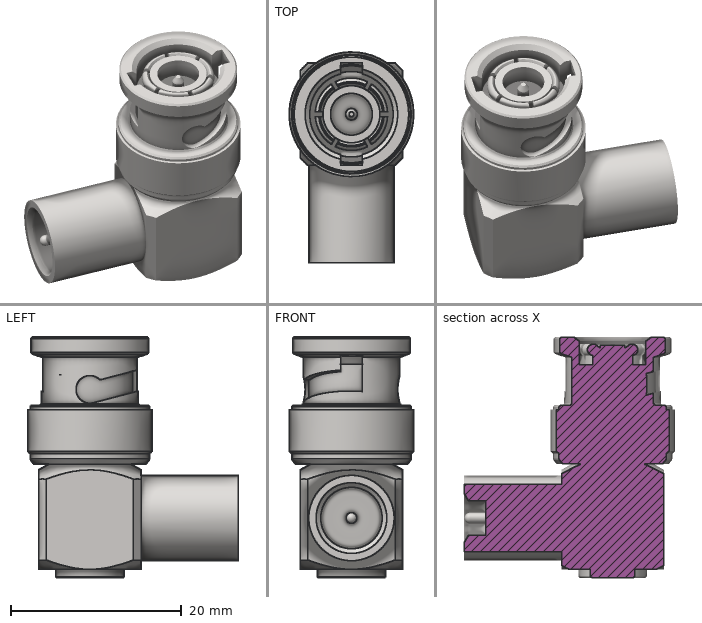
import cadquery as cq
import math


BODY_HALF = 6.0
BODY_CORNER = 0.9
BODY_TOP_Z = 6.3
BODY_CONE_TOP_Z = 5.64
BODY_CONE_ANGLE = 30.0
PLUG_RADIUS = 4.0
PLUG_BOTTOM_Z = -7.0
PLUG_EDGE = 0.15

PORT_RADIUS = 5.0
PORT_END_Y = -17.4
PORT_BORE_RADIUS = 3.6
PORT_MOUTH_RADIUS = 4.14
PORT_MOUTH_DEPTH = 0.5
PORT_BORE_DEPTH = 2.5
PORT_PIN_RADIUS = 0.63
PORT_PIN_TIP_Y = PORT_END_Y + 0.06

NUT_TOP_Z = 21.2
NUT_BOTTOM_Z = 6.3
GRIP_RADIUS = 7.3
GRIP_TOP_Z = 12.7
GRIP_BOTTOM_Z = 7.84
SHOULDER_RADIUS = 7.0
SHOULDER_TOP_Z = 13.22
LOWER_BEVEL_Z = 6.95
LOWER_CONE_Z = 6.77
LOWER_CONE_RADIUS = 6.93
NUT_BOTTOM_RADIUS = 6.55
SLEEVE_RADIUS = 5.67
SLEEVE_FOOT_BEVEL = 0.17
FLANGE_RADIUS = 6.9
FLANGE_BOTTOM_Z = 19.2
FLANGE_CONE_BOTTOM_Z = 18.8
EDGE_BEVEL = 0.2

BORE_RADIUS = 4.89
BORE_MOUTH_RADIUS = 5.42
BORE_MOUTH_DEPTH = 0.5
BORE_FLOOR_Z = 18.0
CORE_RADIUS = 5.0
SLOT_WIDTH = 2.54
SLOT_WALL_Y = 6.0
DETENT_RADIUS = 1.62
DETENT_Z = 15.06
RAMP_ANGLE = 14.7
RAMP_WIDTH = 2.4

FINGER_RADIUS = 4.24
FINGER_TOP_Z = 20.4
FINGER_CREST_OUTER = 3.83
FINGER_CREST_INNER = 3.65
FINGER_BEAD_RADIUS = 0.8
FINGER_BEVEL_DEPTH = 0.45
FINGER_SLOT_WIDTH = 0.55
FINGER_SLOT_LINES = 3
INSULATOR_RADIUS = 3.34
INSULATOR_BORE_RADIUS = 2.45
INSULATOR_TOP_Z = 20.28
CENTER_PIN_RADIUS = 0.68
CENTER_PIN_TIP_RADIUS = 0.28
CENTER_PIN_TOP_Z = 19.85
CENTER_PIN_NOSE = 0.65


def revolve_z(profile):
    """Revolve an X-Z workplane outline about the Z axis."""
    return profile.close().revolve(360, (0, 0, 0), (0, 1, 0))


def cylinder_z(radius, z_low, z_high):
    return cq.Workplane("XY").workplane(offset=z_low).circle(radius).extrude(z_high - z_low)


def make_body():
    """Square block trimmed by a cone at each end, with the closing plug below."""
    side = 2 * BODY_HALF
    block = (
        cq.Workplane("XY")
        .workplane(offset=-BODY_HALF)
        .rect(side, side)
        .extrude(BODY_TOP_Z + BODY_HALF)
        .edges("|Z")
        .chamfer(BODY_CORNER)
    )
    slope = math.tan(math.radians(BODY_CONE_ANGLE))
    reach = 2 * BODY_HALF
    widest_rise = (reach - BODY_HALF) * slope
    top_radius = BODY_HALF - (BODY_TOP_Z - BODY_CONE_TOP_Z) / slope
    envelope = revolve_z(
        cq.Workplane("XZ")
        .moveTo(0, -BODY_HALF)
        .lineTo(BODY_HALF, -BODY_HALF)
        .lineTo(reach, -BODY_HALF + widest_rise)
        .lineTo(reach, BODY_CONE_TOP_Z - widest_rise)
        .lineTo(top_radius, BODY_TOP_Z)
        .lineTo(0, BODY_TOP_Z)
    )
    plug = cylinder_z(PLUG_RADIUS, PLUG_BOTTOM_Z, -BODY_HALF).faces("<Z").chamfer(PLUG_EDGE)
    return block.intersect(envelope).union(plug)


def make_port():
    """Tube along -Y with a countersunk blind bore and a round-nosed pin."""
    floor_y = PORT_END_Y + PORT_BORE_DEPTH
    bore_start_y = PORT_END_Y + PORT_MOUTH_DEPTH
    pin_shoulder_y = PORT_PIN_TIP_Y + PORT_PIN_RADIUS
    nose_offset = PORT_PIN_RADIUS * math.sqrt(0.5)
    return (
        cq.Workplane("XY")
        .moveTo(0, -BODY_HALF)
        .lineTo(PORT_RADIUS, -BODY_HALF)
        .lineTo(PORT_RADIUS, PORT_END_Y)
        .lineTo(PORT_MOUTH_RADIUS, PORT_END_Y)
        .lineTo(PORT_BORE_RADIUS, bore_start_y)
        .lineTo(PORT_BORE_RADIUS, floor_y)
        .lineTo(PORT_PIN_RADIUS, floor_y)
        .lineTo(PORT_PIN_RADIUS, pin_shoulder_y)
        .threePointArc((nose_offset, pin_shoulder_y - nose_offset), (0, PORT_PIN_TIP_Y))
        .close()
        .revolve(360, (0, 0, 0), (0, 1, 0))
    )


def make_nut():
    """Turned coupling nut with the chamfered bayonet bore."""
    outer_step = GRIP_RADIUS - SHOULDER_RADIUS
    flange_edge = FLANGE_RADIUS - EDGE_BEVEL
    return revolve_z(
        cq.Workplane("XZ")
        .moveTo(0, NUT_BOTTOM_Z)
        .lineTo(NUT_BOTTOM_RADIUS, NUT_BOTTOM_Z)
        .lineTo(LOWER_CONE_RADIUS, LOWER_CONE_Z)
        .lineTo(SHOULDER_RADIUS, LOWER_BEVEL_Z)
        .lineTo(SHOULDER_RADIUS, GRIP_BOTTOM_Z - outer_step)
        .lineTo(GRIP_RADIUS, GRIP_BOTTOM_Z)
        .lineTo(GRIP_RADIUS, GRIP_TOP_Z)
        .lineTo(SHOULDER_RADIUS, GRIP_TOP_Z)
        .lineTo(SHOULDER_RADIUS, SHOULDER_TOP_Z - EDGE_BEVEL)
        .lineTo(SHOULDER_RADIUS - EDGE_BEVEL, SHOULDER_TOP_Z)
        .lineTo(SLEEVE_RADIUS + SLEEVE_FOOT_BEVEL, SHOULDER_TOP_Z)
        .lineTo(SLEEVE_RADIUS, SHOULDER_TOP_Z + SLEEVE_FOOT_BEVEL)
        .lineTo(SLEEVE_RADIUS, FLANGE_CONE_BOTTOM_Z)
        .lineTo(flange_edge, FLANGE_BOTTOM_Z)
        .lineTo(FLANGE_RADIUS, FLANGE_BOTTOM_Z + EDGE_BEVEL)
        .lineTo(FLANGE_RADIUS, NUT_TOP_Z - EDGE_BEVEL)
        .lineTo(flange_edge, NUT_TOP_Z)
        .lineTo(BORE_MOUTH_RADIUS, NUT_TOP_Z)
        .lineTo(BORE_RADIUS, NUT_TOP_Z - BORE_MOUTH_DEPTH)
        .lineTo(BORE_RADIUS, BORE_FLOOR_Z)
        .lineTo(0, BORE_FLOOR_Z)
    )


def make_bayonet_cut():
    """Entry slot on the -Y side, its ramp towards -X and the round detent at the ramp end."""
    slot_half = SLOT_WIDTH / 2
    slot = (
        cq.Workplane("XY")
        .workplane(offset=DETENT_Z + RAMP_WIDTH / 2)
        .rect(SLOT_WIDTH, SLOT_WALL_Y, centered=False)
        .extrude(NUT_TOP_Z - DETENT_Z)
        .translate((-slot_half, -SLOT_WALL_Y, 0))
    )
    run_x = GRIP_RADIUS + slot_half
    detent = (
        cq.Workplane("YZ")
        .workplane(offset=-GRIP_RADIUS)
        .center(0, DETENT_Z)
        .circle(DETENT_RADIUS)
        .extrude(GRIP_RADIUS)
    )
    ramp = (
        cq.Workplane("YZ")
        .workplane(offset=-GRIP_RADIUS)
        .rect(GRIP_RADIUS, RAMP_WIDTH, centered=False)
        .extrude(run_x)
        .translate((0, -GRIP_RADIUS, -DETENT_RADIUS))
        .rotate((0, 0, 0), (1, 0, 0), -RAMP_ANGLE)
        .translate((0, 0, DETENT_Z))
    )
    sleeve_limit = cylinder_z(SLEEVE_RADIUS + SLEEVE_FOOT_BEVEL, SHOULDER_TOP_Z, FLANGE_CONE_BOTTOM_Z)
    core = cylinder_z(CORE_RADIUS, 0, BORE_FLOOR_Z)
    return slot.union(ramp.union(detent).intersect(sleeve_limit)).cut(core)


def make_fingers():
    """Slotted spring-contact ring with a rounded outer bead at its tip."""
    bead_center_radius = FINGER_RADIUS - FINGER_BEAD_RADIUS
    bead_half_height = math.sqrt(FINGER_BEAD_RADIUS**2 - (FINGER_CREST_OUTER - bead_center_radius) ** 2)
    bead_z = FINGER_TOP_Z - bead_half_height
    ring = revolve_z(
        cq.Workplane("XZ")
        .moveTo(INSULATOR_RADIUS, BORE_FLOOR_Z)
        .lineTo(FINGER_CREST_OUTER, BORE_FLOOR_Z)
        .lineTo(FINGER_CREST_OUTER, bead_z - bead_half_height)
        .threePointArc((FINGER_RADIUS, bead_z), (FINGER_CREST_OUTER, FINGER_TOP_Z))
        .lineTo(FINGER_CREST_INNER, FINGER_TOP_Z)
        .lineTo(INSULATOR_RADIUS, FINGER_TOP_Z - FINGER_BEVEL_DEPTH)
    )
    height = FINGER_TOP_Z - BORE_FLOOR_Z
    for index in range(FINGER_SLOT_LINES):
        slot = (
            cq.Workplane("XY")
            .workplane(offset=BORE_FLOOR_Z)
            .rect(2 * BORE_RADIUS, FINGER_SLOT_WIDTH)
            .extrude(height)
            .rotate((0, 0, 0), (0, 0, 1), index * 180 / FINGER_SLOT_LINES)
        )
        ring = ring.cut(slot)
    return ring


def make_insulator():
    tube = cylinder_z(INSULATOR_RADIUS, BORE_FLOOR_Z, INSULATOR_TOP_Z)
    return tube.cut(cylinder_z(INSULATOR_BORE_RADIUS, BORE_FLOOR_Z, INSULATOR_TOP_Z))


def make_center_pin():
    nose_z = CENTER_PIN_TOP_Z - CENTER_PIN_NOSE
    return revolve_z(
        cq.Workplane("XZ")
        .moveTo(0, BORE_FLOOR_Z)
        .lineTo(CENTER_PIN_RADIUS, BORE_FLOOR_Z)
        .lineTo(CENTER_PIN_RADIUS, nose_z)
        .lineTo(CENTER_PIN_TIP_RADIUS, CENTER_PIN_TOP_Z)
        .lineTo(0, CENTER_PIN_TOP_Z)
    )


nut = make_nut()
bayonet_cut = make_bayonet_cut()
for turn in (0, 180):
    nut = nut.cut(bayonet_cut.rotate((0, 0, 0), (0, 0, 1), turn))

result = make_body().union(make_port()).union(nut)
for contact_part in (make_insulator(), make_fingers(), make_center_pin()):
    result = result.union(contact_part)